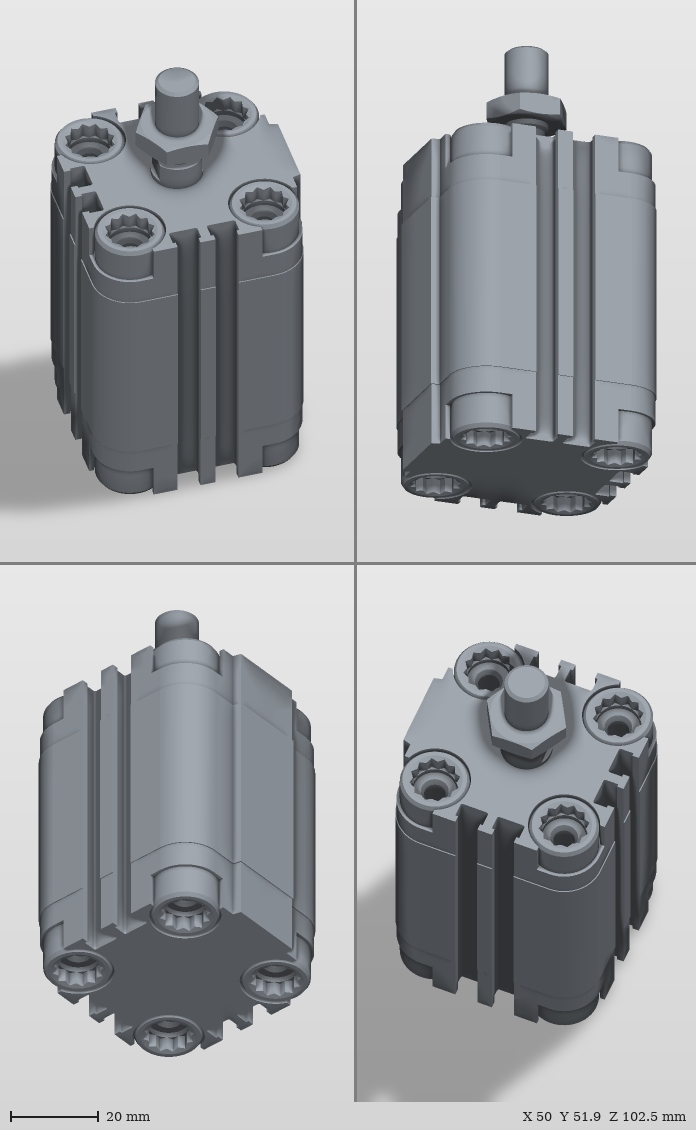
import cadquery as cq
import math

housing_width = 50.0
housing_height = 74.5
screw_offset = 16.0
cap_height = 14.5
cap_inset = 0.26

rail_half_width = 9.7
rail_height = 1.9
rail_side_slope = 0.5

slot_offset = 4.5
slot_mouth_width = 5.4
slot_width = 6.8
slot_depth = 5.3
slot_lip = 1.8
slot_corner_radius = 0.5

head_diameter = 16.0
head_height = 8.2
head_gap = 0.26
head_chamfer = 0.6
head_chamfer_height = 0.9
corner_relief_reach = 3.1
socket_mouth_diameter = 12.7
socket_bore_diameter = 10.0
socket_tip_diameter = 11.7
socket_points = 12
socket_cone_depth = 0.5
socket_star_depth = 3.8
socket_depth = 5.1
screw_hole_diameter = 4.9
screw_hole_mouth_diameter = 6.4
screw_hole_mouth_depth = 1.2

shank_diameter = 12.0
shank_height = 5.8
flat_width = 10.0
flat_start = 1.2
neck_diameter = 8.5
neck_top = 8.1
thread_diameter = 10.0
thread_end_diameter = 8.4
thread_chamfer_height = 0.6
total_height = 102.5
nut_sides = 6
nut_width = 17.0
nut_height = 5.0
nut_start = 9.9
nut_face_diameter = 16.6
nut_chamfer_angle = 20.0

half_width = housing_width / 2
screw_points = [(x, y) for x in (-screw_offset, screw_offset) for y in (-screw_offset, screw_offset)]


def slot_tool():
    """One T-slot along the full height, open towards -Y, with its centre line on X = 0."""
    floor = -half_width + slot_depth
    lip = -half_width + slot_lip
    groove = cq.Workplane("XY").rect(slot_width, floor - lip).extrude(housing_height)
    groove = groove.translate((0, (floor + lip) / 2, 0))
    groove = groove.edges("|Z and >Y").fillet(slot_corner_radius)
    mouth = cq.Workplane("XY").rect(slot_mouth_width, 2 * slot_lip).extrude(housing_height)
    return groove.union(mouth.translate((0, -half_width, 0)))


def housing_section(inset, bottom, height):
    """A length of the housing profile, with every face set in by the given amount."""
    side = housing_width - 2 * inset
    block = cq.Workplane("XY").rect(side, side).extrude(height)
    block = block.edges("|Z").fillet(half_width - screw_offset - inset)

    rail_base = rail_half_width - inset
    rail_top = rail_base - rail_side_slope
    rail_y = half_width + rail_height - inset
    rail = (
        cq.Workplane("XY")
        .polyline([(-rail_base, 0), (-rail_base, half_width - inset), (-rail_top, rail_y),
                   (rail_top, rail_y), (rail_base, half_width - inset), (rail_base, 0)])
        .close()
        .extrude(height)
    )
    return block.union(rail).translate((0, 0, bottom))


def corner_relief():
    """Space cleared around a screw head at the origin, opening towards +X and +Y, top at Z = 0."""
    bore = cq.Workplane("XY").circle(head_diameter / 2 + head_gap).extrude(-head_height)
    near = -corner_relief_reach
    far = head_diameter
    corner = (
        cq.Workplane("XY")
        .polyline([(near, near), (far, near), (far, far), (near, far)])
        .close()
        .extrude(-head_height)
    )
    return bore.union(corner)


def screw_socket():
    """Star socket with a conical mouth at Z = 0 and a round bore going on below the star."""
    mouth_radius = socket_mouth_diameter / 2
    bore_radius = socket_bore_diameter / 2
    cone = (
        cq.Workplane("XZ")
        .polyline([(0, 0), (mouth_radius, 0), (bore_radius, -socket_cone_depth), (0, -socket_cone_depth)])
        .close()
        .revolve(360, (0, 0, 0), (0, 1, 0))
    )
    bore = cq.Workplane("XY").circle(bore_radius).extrude(-socket_depth)
    star_points = []
    for i in range(2 * socket_points):
        radius = bore_radius if i % 2 else socket_tip_diameter / 2
        angle = math.pi * i / socket_points
        star_points.append((radius * math.cos(angle), radius * math.sin(angle)))
    star = cq.Workplane("XY").polyline(star_points).close().extrude(-socket_star_depth)
    return bore.union(star).union(cone)


def screw_head():
    """Screw head at the origin with a chamfered rim, its top face at Z = 0."""
    radius = head_diameter / 2
    rim = radius - head_chamfer
    head = (
        cq.Workplane("XZ")
        .polyline([(0, 0), (rim, 0), (radius, -head_chamfer_height), (radius, -head_height), (0, -head_height)])
        .close()
        .revolve(360, (0, 0, 0), (0, 1, 0))
    )
    head = head.cut(screw_socket())
    hole = cq.Workplane("XY").circle(screw_hole_diameter / 2).extrude(-head_height)
    countersink = (
        cq.Workplane("XY").workplane(offset=-socket_depth)
        .circle(screw_hole_mouth_diameter / 2)
        .workplane(offset=-screw_hole_mouth_depth)
        .circle(screw_hole_diameter / 2)
        .loft()
    )
    return head.cut(hole).cut(countersink)


def make_housing():
    """Barrel, end caps, T-slots and the screw heads at both ends, as one solid."""
    housing = housing_section(cap_inset, 0, housing_height)
    barrel = housing_section(0, cap_height, housing_height - 2 * cap_height)
    housing = housing.union(barrel)

    slot = slot_tool()
    for face_angle in (-90, 0, 90):
        for offset in (-slot_offset, slot_offset):
            placed = slot.translate((offset, 0, 0)).rotate((0, 0, 0), (0, 0, 1), face_angle)
            housing = housing.cut(placed)

    relief = corner_relief()
    head = screw_head()
    middle = (0, 0, housing_height / 2)
    for x, y in screw_points:
        turn = math.degrees(math.atan2(y, x)) - 45
        place = (x, y, housing_height)
        top_relief = relief.rotate((0, 0, 0), (0, 0, 1), turn).translate(place)
        top_head = head.translate(place)
        hole = cq.Workplane("XY").center(x, y).circle(screw_hole_diameter / 2).extrude(housing_height)
        housing = housing.cut(top_relief).cut(top_relief.mirror("XY", middle)).cut(hole)
        housing = housing.union(top_head).union(top_head.mirror("XY", middle))
    return housing


def make_rod():
    """Piston rod standing on the housing: shank with two flats, neck and threaded end."""
    shank_radius = shank_diameter / 2
    neck_radius = neck_diameter / 2
    thread_radius = thread_diameter / 2
    end_radius = thread_end_diameter / 2
    length = total_height - housing_height
    rod = (
        cq.Workplane("XZ")
        .polyline([(0, 0), (shank_radius, 0), (shank_radius, shank_height), (neck_radius, shank_height),
                   (neck_radius, neck_top), (thread_radius, neck_top + thread_chamfer_height),
                   (thread_radius, length - thread_chamfer_height), (end_radius, length), (0, length)])
        .close()
        .revolve(360, (0, 0, 0), (0, 1, 0))
    )
    flat_height = shank_height - flat_start
    for side in (-1, 1):
        flat = cq.Workplane("XY").box(shank_diameter, shank_diameter, flat_height, centered=(True, True, False))
        rod = rod.cut(flat.translate((0, side * (flat_width + shank_diameter) / 2, flat_start)))
    return rod.translate((0, 0, housing_height))


def make_nut():
    """Hexagon lock nut on the thread, with both faces chamfered."""
    half_side_angle = 180 / nut_sides
    corner_diameter = nut_width / math.cos(math.radians(half_side_angle))
    corner_radius = corner_diameter / 2
    face_radius = nut_face_diameter / 2
    drop = (corner_radius - face_radius) * math.tan(math.radians(nut_chamfer_angle))
    hexagon = cq.Workplane("XY").polygon(nut_sides, corner_diameter).extrude(nut_height)
    hexagon = hexagon.rotate((0, 0, 0), (0, 0, 1), half_side_angle)
    chamfered = (
        cq.Workplane("XZ")
        .polyline([(0, 0), (face_radius, 0), (corner_radius, drop), (corner_radius, nut_height - drop),
                   (face_radius, nut_height), (0, nut_height)])
        .close()
        .revolve(360, (0, 0, 0), (0, 1, 0))
    )
    bore = cq.Workplane("XY").circle(thread_diameter / 2).extrude(nut_height)
    return hexagon.intersect(chamfered).cut(bore).translate((0, 0, housing_height + nut_start))


housing = make_housing()
rod = make_rod()
nut = make_nut()
result = cq.Compound.makeCompound([housing.val(), rod.val(), nut.val()])